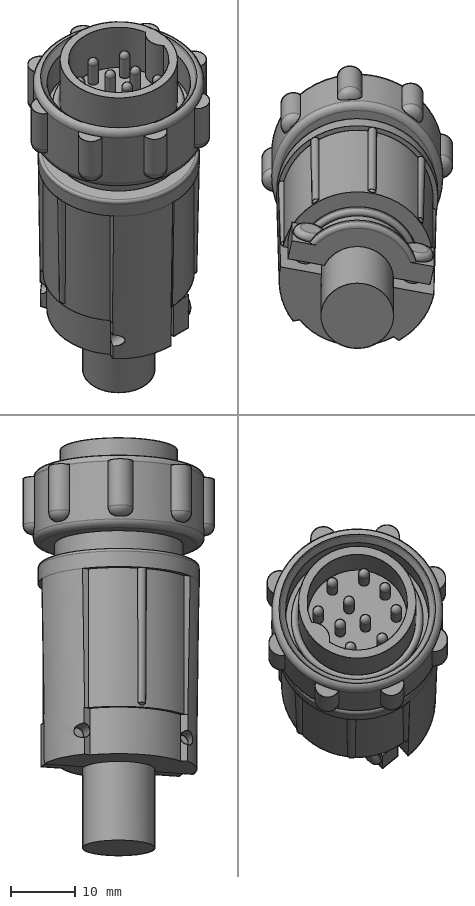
import cadquery as cq
import math

overall_height = 63.5
body_bottom = 12.6
body_step = 20.0
collar_bottom = 42.15
collar_top = 45.15
nut_bottom = 48.45
nut_top = 60.0

cable_radius = 5.65

body_top_radius = 12.6
body_bottom_radius = 12.2
panel_radius = 11.8
saddle_radius = 11.25
panel_half_angle = 41.5
strip_edge_angle = 44.5
collar_edge_fillet = 0.5

rib_radius = 0.7
rib_bottom = 20.2
rib_end_chamfer = 0.5

neck_radius = 10.05
nut_radius = 13.35
nut_edge_fillet = 1.15
nut_mouth_radius = nut_radius - nut_edge_fillet
nut_bore_radius = 11.2
nut_bore_floor = 53.65
mouth_cone_radius = 12.0
mouth_cone_top = 59.8
mouth_cone_height = 0.95
grip_count = 8
grip_radius = 2.0
grip_circle_radius = 12.95
grip_start_angle = -16.5
grip_bottom = 50.05
grip_top = nut_top - nut_edge_fillet
grip_end_fillet = 1.45

sleeve_radius = 9.15
sleeve_bore_radius = 7.8
sleeve_floor = 55.25
key_radius = 2.7
key_depth = 6.55
seal_section_radius = 0.6
seal_height = 54.6

pin_radius = 0.8
pin_top = 59.95
pin_inner_x = 2.0
pin_outer_x = 6.0
pin_diagonal = (3.9, 4.7)
pin_upper_y = 3.5
pin_lower_y = 5.7

clamp_bottom = 13.15
clamp_top = 19.9
clamp_half_width = 11.3
clamp_near_y = 1.35
clamp_far_y = 4.5
clamp_arch_radius = 9.6
clamp_web_radius = 8.65
clamp_bead_width = 1.9
clamp_bead_fillet = 0.75
screw_x = 8.6
screw_height = 16.4
screw_radius = 1.15
screw_end_y = -5.1
screw_head_radius = 2.55
screw_head_height = 1.15
screw_head_fillet = 0.95


def cylinder(radius, bottom, top, x=0.0, y=0.0):
    """Upright cylinder between two heights."""
    return cq.Workplane("XY", origin=(x, y, bottom)).circle(radius).extrude(top - bottom)


def cylinder_along_y(radius, start_y, end_y, x, z):
    """Cylinder parallel to the Y axis."""
    plane = cq.Plane(origin=(x, start_y, z), xDir=(1, 0, 0), normal=(0, 1, 0))
    return cq.Workplane(plane).circle(radius).extrude(end_y - start_y)


def half_space(y_sign, bottom, top):
    """Block on one side of the XZ plane, wider than the body."""
    size = 3 * body_top_radius
    block = cq.Workplane("XY", origin=(0, y_sign * size / 2, bottom))
    return block.rect(size, size).extrude(top - bottom)


def polar_point(radius, angle):
    """Point at a radius and an angle in degrees from the X axis."""
    turn = math.radians(angle)
    return (radius * math.cos(turn), radius * math.sin(turn))


def panel_window(foot_radius, bottom, top):
    """Opening between the side strips, with walls sloping from panel foot to strip edge."""
    reach = 2 * body_top_radius
    points = [
        (0, 0),
        polar_point(foot_radius, -90 - panel_half_angle),
        polar_point(body_top_radius, -90 - strip_edge_angle),
        polar_point(reach, -90 - strip_edge_angle),
        polar_point(reach, -90 + strip_edge_angle),
        polar_point(body_top_radius, -90 + strip_edge_angle),
        polar_point(foot_radius, -90 + panel_half_angle),
    ]
    return cq.Workplane("XY", origin=(0, 0, bottom)).polyline(points).close().extrude(top - bottom)


def make_side_strips():
    """Tapered strips on the -Y half, either side of the front panel."""
    cone = (
        cq.Workplane("XZ")
        .polyline([
            (0, body_bottom),
            (body_bottom_radius, body_bottom),
            (body_top_radius, collar_bottom),
            (0, collar_bottom),
        ])
        .close()
        .revolve(360, (0, 0, 0), (0, 1, 0))
    )
    strips = cone.intersect(half_space(-1, body_bottom, collar_bottom))
    strips = strips.cut(panel_window(saddle_radius, body_bottom, body_step))
    return strips.cut(panel_window(panel_radius, body_step, collar_bottom))


def make_body():
    core = cylinder(panel_radius, body_step, collar_bottom)
    saddle = cylinder(saddle_radius, body_bottom, body_step)
    saddle = saddle.intersect(half_space(-1, body_bottom, body_step))
    collar = cylinder(body_top_radius, collar_bottom, collar_top)
    collar = collar.faces(">Z").edges().fillet(collar_edge_fillet)
    return core.union(saddle).union(make_side_strips()).union(collar)


def make_rib(angle):
    """Round rib that leans inward toward the cable end, with a chamfered tip."""
    top_point = cq.Vector(body_top_radius - rib_radius, 0, collar_bottom)
    tip_point = cq.Vector(body_bottom_radius - rib_radius, 0, rib_bottom)
    lean = top_point - tip_point
    plane = cq.Plane(origin=tip_point, xDir=(0, 1, 0), normal=lean)
    rib = cq.Workplane(plane).circle(rib_radius).extrude(lean.Length)
    rib = rib.faces("<Z").edges().chamfer(rib_end_chamfer)
    rib = rib.rotate((0, 0, 0), (0, 0, 1), angle)
    if angle in (0, 180):
        rib = rib.intersect(half_space(1, 0, overall_height))
    return rib


def make_nut():
    nut = cylinder(nut_radius, nut_bottom, nut_top)
    nut = nut.faces("<Z").edges().fillet(nut_edge_fillet)

    grip = cylinder(grip_radius, grip_bottom, grip_top, x=grip_circle_radius)
    grip = grip.faces("<Z").edges().fillet(grip_end_fillet)
    for index in range(grip_count):
        angle = grip_start_angle + index * 360 / grip_count
        nut = nut.union(grip.rotate((0, 0, 0), (0, 0, 1), angle))

    rim = (
        cq.Workplane("XZ")
        .moveTo(nut_mouth_radius, nut_top)
        .lineTo(2 * nut_radius, nut_top)
        .lineTo(2 * nut_radius, grip_top)
        .lineTo(nut_radius, grip_top)
        .radiusArc((nut_mouth_radius, nut_top), -nut_edge_fillet)
        .close()
        .revolve(360, (0, 0, 0), (0, 1, 0))
    )
    mouth = (
        cq.Workplane("XZ")
        .moveTo(0, nut_bore_floor)
        .lineTo(nut_bore_radius, nut_bore_floor)
        .lineTo(nut_bore_radius, mouth_cone_top - mouth_cone_height)
        .lineTo(mouth_cone_radius, mouth_cone_top)
        .lineTo(nut_mouth_radius, nut_top)
        .lineTo(0, nut_top)
        .close()
        .revolve(360, (0, 0, 0), (0, 1, 0))
    )
    return nut.cut(rim).cut(mouth)


def make_sleeve():
    sleeve = cylinder(sleeve_radius, collar_top, overall_height)
    bore = cylinder(sleeve_bore_radius, sleeve_floor, overall_height)
    key = cylinder(key_radius, sleeve_floor, overall_height, y=key_depth + key_radius)
    return sleeve.cut(bore.cut(key))


def make_seal():
    """Sealing ring around the sleeve, on a seat that fills the space beneath it."""
    ring_radius = sleeve_radius + seal_section_radius
    ring = cq.Workplane("XY").add(cq.Solid.makeTorus(ring_radius, seal_section_radius))
    ring = ring.translate((0, 0, seal_height))
    seat = cylinder(ring_radius, nut_bore_floor, seal_height)
    return ring.union(seat)


def make_pins():
    diagonal_x, diagonal_y = pin_diagonal
    places = [(0, pin_upper_y), (0, -pin_lower_y)]
    for side in (-1, 1):
        places += [(side * pin_inner_x, 0), (side * pin_outer_x, 0)]
        places += [(side * diagonal_x, diagonal_y), (side * diagonal_x, -diagonal_y)]
    shoulder = pin_top - pin_radius
    shanks = cq.Workplane("XY", origin=(0, 0, sleeve_floor)).pushPoints(places)
    shanks = shanks.circle(pin_radius).extrude(shoulder - sleeve_floor)
    tips = cq.Workplane("XY", origin=(0, 0, shoulder)).pushPoints(places).sphere(pin_radius)
    return shanks.union(tips)


def make_clamp():
    height = clamp_top - clamp_bottom
    bar = cq.Workplane("XY", origin=(0, (clamp_near_y + clamp_far_y) / 2, clamp_bottom))
    bar = bar.rect(2 * clamp_half_width, clamp_far_y - clamp_near_y).extrude(height)

    arch = cylinder(clamp_web_radius, clamp_bottom, clamp_top)
    for bottom in (clamp_bottom, clamp_top - clamp_bead_width):
        bead = cylinder(clamp_arch_radius, bottom, bottom + clamp_bead_width)
        arch = arch.union(bead.edges().fillet(clamp_bead_fillet))
    beyond_bar = half_space(1, clamp_bottom, clamp_top).translate((0, clamp_near_y, 0))
    return bar.union(arch.intersect(beyond_bar))


def make_screw(x):
    shank = cylinder_along_y(screw_radius, screw_end_y, clamp_far_y, x, screw_height)
    head_top = clamp_far_y + screw_head_height
    head = cylinder_along_y(screw_head_radius, clamp_far_y, head_top, x, screw_height)
    return shank.union(head.faces(">Y").edges().fillet(screw_head_fillet))


result = make_body()
for rib_angle in (-90, 0, 45, 90, 135, 180):
    result = result.union(make_rib(rib_angle))

for side in (-1, 1):
    screw_hole = cylinder_along_y(
        screw_radius, -body_top_radius, screw_end_y, side * screw_x, screw_height
    )
    result = result.cut(screw_hole)

result = result.union(cylinder(cable_radius, 0, body_step))
result = result.union(cylinder(neck_radius, collar_top, nut_bottom))
result = result.union(make_nut())
result = result.union(make_sleeve())
result = result.union(make_seal())
result = result.union(make_pins())
result = result.union(make_clamp())
for side in (-1, 1):
    result = result.union(make_screw(side * screw_x))